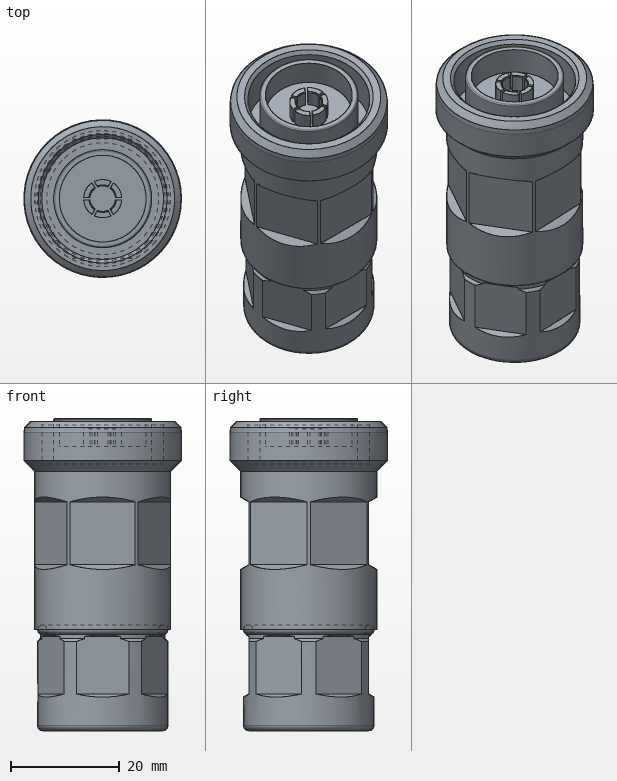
import cadquery as cq
import math

TOTAL_HEIGHT = 57.45

NUT_TOP = 17.75

FLAT_COUNT = 6
ACROSS_FLATS = 22.0
FLAT_END_ANGLE = 30.0

NUT_RADIUS = 12.0
NUT_FOOT_FILLET = 1.0
NUT_COLLAR_RADIUS = 11.5
NUT_SHOULDER = 16.45
NUT_FLAT_BOTTOM = 6.8
NUT_FLAT_TOP = 17.35

RING_SECTION_RADIUS = 0.85
RING_CENTRE_RADIUS = NUT_RADIUS - RING_SECTION_RADIUS
BARREL_BOTTOM = NUT_TOP + RING_SECTION_RADIUS

BARREL_RADIUS = 12.5
BARREL_TOP = 47.75
BARREL_FLAT_BOTTOM = 30.55
BARREL_FLAT_TOP = 42.1

HEAD_DIAMETER = 29.0
HEAD_RADIUS = HEAD_DIAMETER / 2
HEAD_CONE_TOP = 49.75
HEAD_TAPER_BOTTOM = 54.9
HEAD_TAPER_DEPTH = 0.1
HEAD_TOP = 56.95
HEAD_CHAMFER = 1.15
HEAD_MOUTH_RADIUS = 11.2
HEAD_MOUTH_CHAMFER = 0.65
HEAD_FLOOR = 49.1

TUBE_OUTER_RADIUS = 9.0
TUBE_INNER_RADIUS = 8.0
TUBE_RIM_FILLET = 0.25
TUBE_FLOOR = 52.3

CONTACT_TOP = 55.7
CONTACT_OUTER_RADIUS = 3.5
CONTACT_BORE_RADIUS = 2.35
CONTACT_BORE_CHAMFER = 0.2
SLOT_WIDTH = 0.5
SLOT_CUT_COUNT = 3


def revolve(outline):
    """Turn a closed outline of (radius, height) about the Z axis."""
    return outline.close().revolve(360, (0, 0, 0), (0, 1, 0))


def wrench_flats(bottom, top, outer_radius):
    """Cutters for a ring of flats whose ends slope outward up to the given radius."""
    flat_distance = ACROSS_FLATS / 2
    depth = outer_radius - flat_distance
    rise = depth * math.tan(math.radians(FLAT_END_ANGLE))
    cutter = (
        cq.Workplane("YZ")
        .moveTo(-flat_distance, bottom)
        .lineTo(-outer_radius, bottom - rise)
        .lineTo(-outer_radius, top + rise)
        .lineTo(-flat_distance, top)
        .close()
        .extrude(outer_radius, both=True)
    )
    step = 360 / FLAT_COUNT
    return [cutter.rotate((0, 0, 0), (0, 0, 1), i * step) for i in range(FLAT_COUNT)]


def make_nut():
    shoulder_chamfer = NUT_RADIUS - NUT_COLLAR_RADIUS
    outline = (
        cq.Workplane("XZ")
        .lineTo(NUT_RADIUS, 0)
        .lineTo(NUT_RADIUS, NUT_SHOULDER)
        .lineTo(NUT_COLLAR_RADIUS, NUT_SHOULDER + shoulder_chamfer)
        .lineTo(NUT_COLLAR_RADIUS, NUT_TOP)
        .lineTo(0, NUT_TOP)
    )
    nut = revolve(outline).faces("<Z").edges().fillet(NUT_FOOT_FILLET)
    for cutter in wrench_flats(NUT_FLAT_BOTTOM, NUT_FLAT_TOP, NUT_RADIUS):
        nut = nut.cut(cutter)
    return nut


def make_sealing_ring():
    section = cq.Workplane("XZ").center(RING_CENTRE_RADIUS, BARREL_BOTTOM).circle(RING_SECTION_RADIUS)
    return section.revolve(360, (-RING_CENTRE_RADIUS, 0, 0), (-RING_CENTRE_RADIUS, 1, 0))


def make_shell():
    """Barrel, head and tube, with the spigot and the groove that hold the sealing ring."""
    spigot_radius = RING_CENTRE_RADIUS - RING_SECTION_RADIUS
    groove_outer_radius = RING_CENTRE_RADIUS + RING_SECTION_RADIUS
    groove_top = (RING_CENTRE_RADIUS, BARREL_BOTTOM + RING_SECTION_RADIUS)
    taper_radius = HEAD_RADIUS - HEAD_TAPER_DEPTH
    outline = (
        cq.Workplane("XZ")
        .moveTo(0, NUT_TOP)
        .lineTo(spigot_radius, NUT_TOP)
        .lineTo(spigot_radius, BARREL_BOTTOM)
        .threePointArc(groove_top, (groove_outer_radius, BARREL_BOTTOM))
        .lineTo(BARREL_RADIUS, BARREL_BOTTOM)
        .lineTo(BARREL_RADIUS, BARREL_TOP)
        .lineTo(HEAD_RADIUS, HEAD_CONE_TOP)
        .lineTo(HEAD_RADIUS, HEAD_TAPER_BOTTOM)
        .lineTo(taper_radius, HEAD_TOP - HEAD_CHAMFER)
        .lineTo(taper_radius - HEAD_CHAMFER, HEAD_TOP)
        .lineTo(HEAD_MOUTH_RADIUS + HEAD_MOUTH_CHAMFER, HEAD_TOP)
        .lineTo(HEAD_MOUTH_RADIUS, HEAD_TOP - HEAD_MOUTH_CHAMFER)
        .lineTo(HEAD_MOUTH_RADIUS, HEAD_FLOOR)
        .lineTo(TUBE_OUTER_RADIUS, HEAD_FLOOR)
        .lineTo(TUBE_OUTER_RADIUS, TOTAL_HEIGHT - TUBE_RIM_FILLET)
        .radiusArc((TUBE_OUTER_RADIUS - TUBE_RIM_FILLET, TOTAL_HEIGHT), -TUBE_RIM_FILLET)
        .lineTo(TUBE_INNER_RADIUS, TOTAL_HEIGHT)
        .lineTo(TUBE_INNER_RADIUS, TUBE_FLOOR)
        .lineTo(0, TUBE_FLOOR)
    )
    return revolve(outline)


def make_contact():
    """Centre contact: a sleeve on the tube floor, split into fingers by slots."""
    height = CONTACT_TOP - TUBE_FLOOR
    floor = cq.Workplane("XY").workplane(offset=TUBE_FLOOR)
    sleeve = floor.circle(CONTACT_OUTER_RADIUS).circle(CONTACT_BORE_RADIUS).extrude(height)
    bore_rim = sleeve.faces(">Z").edges(cq.selectors.RadiusNthSelector(0))
    sleeve = bore_rim.chamfer(CONTACT_BORE_CHAMFER)
    slot = floor.rect(2 * CONTACT_OUTER_RADIUS, SLOT_WIDTH).extrude(height)
    for i in range(SLOT_CUT_COUNT):
        sleeve = sleeve.cut(slot.rotate((0, 0, 0), (0, 0, 1), i * 180 / SLOT_CUT_COUNT))
    return sleeve


def make_housing():
    housing = make_shell()
    for cutter in wrench_flats(BARREL_FLAT_BOTTOM, BARREL_FLAT_TOP, BARREL_RADIUS):
        housing = housing.cut(cutter)
    return housing.union(make_contact())


nut = make_nut()
sealing_ring = make_sealing_ring()
housing = make_housing()

result = cq.Compound.makeCompound([nut.solids().val(), sealing_ring.solids().val(), housing.solids().val()])